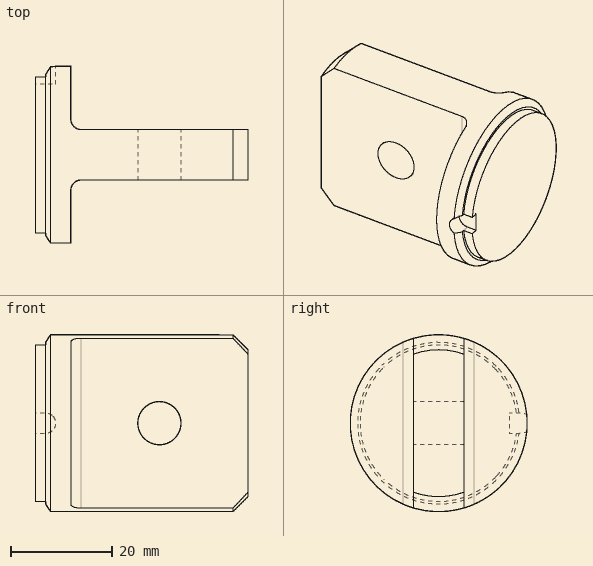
import cadquery as cq

total_length = 42.0
outer_radius = 35.0 / 2
spigot_radius = 31.0 / 2
spigot_length = 2.0
shoulder_radius = 32.0 / 2
bevel_end = 3.0
flange_back = 7.0
tip_chamfer = 3.0

tang_thickness = 10.0
root_fillet = 2.0
hole_diameter = 8.5
hole_x = 24.5

notch_width = 4.0
notch_axis_x = 2.0
notch_inner_y = 14.0


def turned_body():
    """Spigot, bevelled flange and chamfered tip as one revolved solid."""
    return (
        cq.Workplane("XY")
        .polyline([
            (0, 0),
            (0, spigot_radius),
            (spigot_length, spigot_radius),
            (spigot_length, shoulder_radius),
            (bevel_end, outer_radius),
            (total_length - tip_chamfer, outer_radius),
            (total_length, outer_radius - tip_chamfer),
            (total_length, 0),
        ])
        .close()
        .revolve(360, (0, 0, 0), (1, 0, 0))
    )


def tang_side_cut(side):
    """Material removed from one side (+1 or -1) of the tang, with a rounded root corner."""
    inner_y = tang_thickness / 2
    cut_length = total_length - flange_back
    cut_depth = outer_radius - inner_y
    return (
        cq.Workplane("XY")
        .box(cut_length, cut_depth, 2 * outer_radius)
        .translate((flange_back + cut_length / 2, side * (inner_y + cut_depth / 2), 0))
        .edges("|Z and <X")
        .edges(">Y" if side < 0 else "<Y")
        .fillet(root_fillet)
    )


def cross_hole():
    """Through hole across the tang, along Y."""
    return (
        cq.Workplane("XZ")
        .center(hole_x, 0)
        .circle(hole_diameter / 2)
        .extrude(tang_thickness, both=True)
    )


def notch():
    """Slot running in from the rim along Y, with a half-round bottom."""
    half_width = notch_width / 2
    return (
        cq.Workplane("XZ", origin=(0, outer_radius, 0))
        .moveTo(0, -half_width)
        .lineTo(notch_axis_x, -half_width)
        .threePointArc((notch_axis_x + half_width, 0), (notch_axis_x, half_width))
        .lineTo(0, half_width)
        .close()
        .extrude(outer_radius - notch_inner_y)
    )


result = turned_body()
for side in (1, -1):
    result = result.cut(tang_side_cut(side))
result = result.cut(cross_hole()).cut(notch())